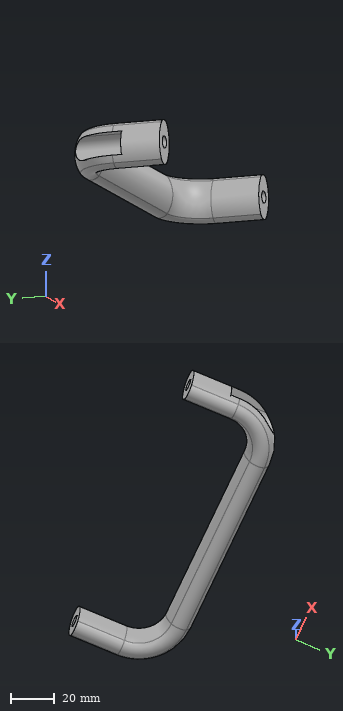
import cadquery as cq
import math

length = 141.0
depth = 50.0

bar_width = 13.0
bar_height = 21.0
end_radius = 5.0
side_radius = 15.5

leg_spacing = length - bar_width
bend_radius = 20.0
grip_y = depth - bar_width / 2

screw_diameter = 5.5
pocket_width = 11.0
pocket_floor_y = 19.0

leg_x = leg_spacing / 2
bend_y = grip_y - bend_radius


def bar_section():
    """Oval at the foot of the left leg, in the XZ plane."""
    half_width = bar_width / 2
    half_height = bar_height / 2
    end_centre = half_height - end_radius
    side_centre = side_radius - half_width
    centre_distance = math.hypot(side_centre, end_centre)
    centre_line_angle = math.atan2(end_centre, side_centre)
    cosine_numerator = centre_distance**2 + side_radius**2 - end_radius**2
    crossing_cosine = cosine_numerator / (2 * centre_distance * side_radius)
    blend_angle = centre_line_angle + math.acos(crossing_cosine)
    blend_x = side_radius * math.cos(blend_angle) - side_centre
    blend_z = side_radius * math.sin(blend_angle)
    return (
        cq.Workplane("XZ", origin=(-leg_x, 0, 0))
        .moveTo(blend_x, -blend_z)
        .threePointArc((half_width, 0), (blend_x, blend_z))
        .threePointArc((0, half_height), (-blend_x, blend_z))
        .threePointArc((-half_width, 0), (-blend_x, -blend_z))
        .threePointArc((0, -half_height), (blend_x, -blend_z))
        .close()
    )


def handle_path():
    """Centre line: leg, bend, grip, bend, leg."""
    grip_end_x = leg_x - bend_radius
    return (
        cq.Workplane("XY")
        .moveTo(-leg_x, 0)
        .lineTo(-leg_x, bend_y)
        .tangentArcPoint((-grip_end_x, grip_y), relative=False)
        .lineTo(grip_end_x, grip_y)
        .tangentArcPoint((leg_x, bend_y), relative=False)
        .lineTo(leg_x, 0)
    )


def screw_seat(side):
    """Screw hole along a leg and the head pocket above it, open to the outside of the bend.

    side is -1 for the left leg and 1 for the right leg.
    """
    axis_x = side * leg_x
    pocket_length = depth - pocket_floor_y
    hole = (
        cq.Workplane("XZ", origin=(axis_x, 0, 0))
        .circle(screw_diameter / 2)
        .extrude(-depth)
    )
    round_end = (
        cq.Workplane("XZ", origin=(axis_x, pocket_floor_y, 0))
        .circle(pocket_width / 2)
        .extrude(-pocket_length)
    )
    side_opening = (
        cq.Workplane("XZ", origin=(axis_x, pocket_floor_y, 0))
        .center(side * bar_width / 2, 0)
        .rect(bar_width, pocket_width)
        .extrude(-pocket_length)
    )
    return hole.union(round_end).union(side_opening)


result = bar_section().sweep(handle_path())
for leg_side in (-1, 1):
    result = result.cut(screw_seat(leg_side))